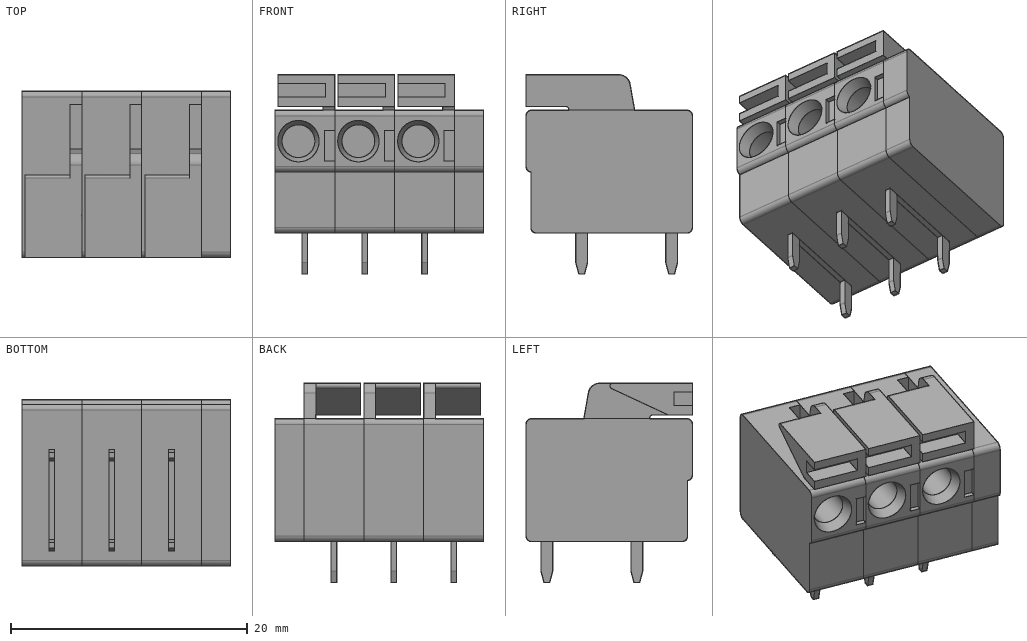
import cadquery as cq
import math


module_count = 3
total_length = 17.68
total_depth = 14.1
housing_height = 10.43
module_pitch = 5.07
end_plate_width = total_length - module_count * module_pitch
corner_radius = 0.5

front_setback = 0.4
ledge_z = 5.16

entry_x = 2.0
entry_z = 7.8
entry_mouth_diameter = 3.5
entry_bore_diameter = 2.78
entry_funnel_depth = 0.99
entry_bore_depth = 4.0

window_width = 0.88
window_depth = 0.4
window_bottom_z = 6.1
window_height = 2.6

lever_top_z = 13.44
lever_gap = 0.28
lever_underside_z = housing_height + lever_gap
blade_width = 1.0
blade_front_y = 3.6
blade_back_y = 9.21
blade_back_tilt = 10.0
blade_back_radius = 1.0
blade_front_radius = 0.2
handle_side_gap = 0.27
handle_ramp_start_y = 2.02
handle_ramp_angle = 25.0
handle_nose_radius = 0.25

notch_bottom_z = 11.53
notch_height = 1.17
notch_depth = 1.55
notch_end_wall = 0.8

slot_back_y = 12.98
slot_depth = 2.0

contact_thickness = 0.5
contact_bar_height = 0.5
leg_width = 1.0
leg_tip_width = 0.5
leg_length = 3.47
leg_taper_length = 0.97
front_leg_y = 4.72
leg_spacing = 7.62


def box_between(x0, x1, y0, y1, z0, z1):
    """Box given by its limits along each axis."""
    return cq.Workplane("XY").box(x1 - x0, y1 - y0, z1 - z0, centered=False).translate((x0, y0, z0))


def make_housing_block(width):
    """Rounded block whose front face steps back below the ledge."""
    arc_center_z = ledge_z + corner_radius
    arc_end_z = arc_center_z - math.sqrt(corner_radius**2 - (corner_radius - front_setback) ** 2)
    outline = (
        cq.Workplane("YZ")
        .moveTo(front_setback, 0)
        .lineTo(total_depth, 0)
        .lineTo(total_depth, housing_height)
        .lineTo(0, housing_height)
        .lineTo(0, arc_center_z)
        .radiusArc((front_setback, arc_end_z), -corner_radius)
        .close()
    )
    block = outline.extrude(width)
    top_and_bottom_edges = block.edges("|X and (>Z or <Z)")
    return top_and_bottom_edges.fillet(corner_radius)


def make_wire_entry():
    """Funnel followed by a blind bore, as a solid to cut away."""
    entry_end_y = entry_funnel_depth + entry_bore_depth
    return (
        cq.Workplane("XY")
        .polyline([
            (0, 0),
            (entry_mouth_diameter / 2, 0),
            (entry_bore_diameter / 2, entry_funnel_depth),
            (entry_bore_diameter / 2, entry_end_y),
            (0, entry_end_y),
        ])
        .close()
        .revolve(360, (0, 0), (0, 1))
        .translate((entry_x, 0, entry_z))
    )


def make_module_housing(contact):
    """Pole housing with its wire entry, window, lever slot and contact recess."""
    window = box_between(
        module_pitch - window_width, module_pitch,
        0, window_depth,
        window_bottom_z, window_bottom_z + window_height,
    )
    lever_slot = box_between(
        module_pitch - blade_width, module_pitch,
        blade_front_y, slot_back_y,
        housing_height - slot_depth, housing_height,
    )
    housing = make_housing_block(module_pitch)
    return housing.cut(make_wire_entry()).cut(window).cut(lever_slot).cut(contact)


def make_blade():
    """Full-length blade of the lever, standing on the slot floor."""
    slot_floor_z = housing_height - slot_depth
    back_lean = (lever_top_z - housing_height) * math.tan(math.radians(blade_back_tilt))
    blade = (
        cq.Workplane("YZ")
        .polyline([
            (0, lever_top_z),
            (0, lever_underside_z),
            (blade_front_y, lever_underside_z),
            (blade_front_y, slot_floor_z),
            (blade_back_y, slot_floor_z),
            (blade_back_y, housing_height),
            (blade_back_y - back_lean, lever_top_z),
        ])
        .close()
        .extrude(blade_width)
    )
    back_top_edge = cq.selectors.NearestToPointSelector(
        (blade_width / 2, blade_back_y - back_lean, lever_top_z)
    )
    front_inner_edge = cq.selectors.NearestToPointSelector(
        (blade_width / 2, blade_front_y, lever_underside_z)
    )
    blade = blade.edges("|X").edges(back_top_edge).fillet(blade_back_radius)
    blade = blade.edges("|X").edges(front_inner_edge).fillet(blade_front_radius)
    return blade.translate((module_pitch - blade_width, 0, 0))


def make_handle():
    """Wide wedge-shaped part of the lever with a rounded rear nose and a front notch."""
    handle_width = module_pitch - handle_side_gap
    ramp_rise = lever_top_z - lever_underside_z
    ramp_end_y = handle_ramp_start_y + ramp_rise / math.tan(math.radians(handle_ramp_angle))
    handle = (
        cq.Workplane("YZ")
        .polyline([
            (0, lever_top_z),
            (0, lever_underside_z),
            (handle_ramp_start_y, lever_underside_z),
            (ramp_end_y, lever_top_z),
        ])
        .close()
        .extrude(handle_width)
        .edges("|X and >Y")
        .fillet(handle_nose_radius)
        .translate((handle_side_gap, 0, 0))
    )
    notch = box_between(
        handle_side_gap, module_pitch - notch_end_wall,
        0, notch_depth,
        notch_bottom_z, notch_bottom_z + notch_height,
    )
    return handle, notch


def make_lever():
    """Push lever: a narrow blade and a wide handle in one piece."""
    handle, notch = make_handle()
    return make_blade().union(handle).cut(notch)


def make_leg(center_y):
    """Flat tapered solder leg, reaching up through the bar."""
    taper_start_z = leg_taper_length - leg_length
    return (
        cq.Workplane("YZ")
        .polyline([
            (center_y - leg_width / 2, contact_bar_height),
            (center_y - leg_width / 2, taper_start_z),
            (center_y - leg_tip_width / 2, -leg_length),
            (center_y + leg_tip_width / 2, -leg_length),
            (center_y + leg_width / 2, taper_start_z),
            (center_y + leg_width / 2, contact_bar_height),
        ])
        .close()
        .extrude(contact_thickness)
        .translate(((module_pitch - contact_thickness) / 2, 0, 0))
    )


def make_contact():
    """U-shaped contact in the middle plane of a module."""
    rear_leg_y = front_leg_y + leg_spacing
    bar = box_between(
        (module_pitch - contact_thickness) / 2, (module_pitch + contact_thickness) / 2,
        front_leg_y, rear_leg_y,
        0, contact_bar_height,
    )
    return bar.union(make_leg(front_leg_y)).union(make_leg(rear_leg_y))


contact = make_contact()
module_housing = make_module_housing(contact)
lever = make_lever()
end_plate = make_housing_block(end_plate_width).translate((module_count * module_pitch, 0, 0))

bodies = [end_plate.val()]
for index in range(module_count):
    module_offset = (index * module_pitch, 0, 0)
    for body in (module_housing, lever, contact):
        bodies.append(body.translate(module_offset).val())

result = cq.Compound.makeCompound(bodies)